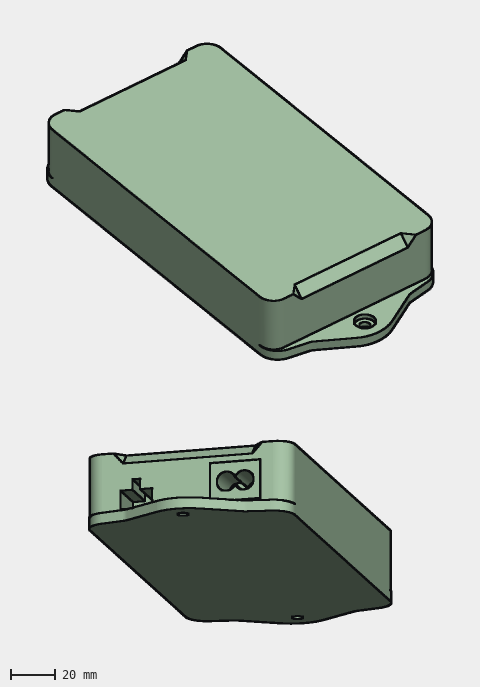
import cadquery as cq
import math

length = 203.0
width = 96.0
height = 33.0
housing_length = 168.0
housing_radius = 8.0
end_face_x = housing_length / 2

plate_thickness = 5.0
ear_tip_radius = 20.0
ear_tip_angle = 30
ear_bend_y = 28.0
ear_bend_radius = 5.0
shoulder_angle = 10
shoulder_radius = 10.0

hole_x = 91.5
hole_diameter = 5.0
counterbore_diameter = 10.0
counterbore_depth = 2.5

notch_depth = 5.0
notch_inner_half_width = 30.2
notch_outer_half_width = 35.0

port_depth = 20.3
port_bottom_z = 6.7
power_y = -22.5
power_block_width = 23.3
power_block_height = 18.0
power_block_projection = 1.0
power_socket_diameter = 9.0
power_socket_spacing = 8.3
network_y = 24.2
network_width = 14.8
network_height = 8.7
network_tab_width = 3.7
network_tab_height = 4.9


def make_base_plate():
    """Sharp-cornered outline with two pointed ears, then rounded corners."""
    flank_slope = math.tan(math.radians(ear_tip_angle))
    shoulder_slope = math.tan(math.radians(shoulder_angle))
    tip_centre_x = length / 2 - ear_tip_radius
    apex_x = tip_centre_x + ear_tip_radius / math.cos(math.radians(ear_tip_angle))
    bend_x = apex_x - ear_bend_y * flank_slope
    corner_x = bend_x - (width / 2 - ear_bend_y) * shoulder_slope
    outline = [
        (-apex_x, 0),
        (-bend_x, ear_bend_y),
        (-corner_x, width / 2),
        (corner_x, width / 2),
        (bend_x, ear_bend_y),
        (apex_x, 0),
        (bend_x, -ear_bend_y),
        (corner_x, -width / 2),
        (-corner_x, -width / 2),
        (-bend_x, -ear_bend_y),
    ]
    plate = cq.Workplane("XY").polyline(outline).close().extrude(plate_thickness)
    mid_z = plate_thickness / 2
    rounded_corners = (
        (apex_x, 0, ear_tip_radius),
        (bend_x, ear_bend_y, ear_bend_radius),
        (corner_x, width / 2, shoulder_radius),
    )
    for x, y, radius in rounded_corners:
        for x_sign in (-1, 1):
            for y_sign in (-1, 1) if y else (1,):
                corner = cq.selectors.NearestToPointSelector((x_sign * x, y_sign * y, mid_z))
                plate = plate.edges("|Z").edges(corner).fillet(radius)
    return (
        plate.faces(">Z")
        .workplane(origin=(0, 0, plate_thickness))
        .pushPoints([(-hole_x, 0), (hole_x, 0)])
        .cboreHole(hole_diameter, counterbore_diameter, counterbore_depth)
    )


def make_housing():
    return (
        cq.Workplane("XY")
        .box(housing_length, width, height, centered=(True, True, False))
        .edges("|Z")
        .fillet(housing_radius)
    )


def make_notch():
    """Bevel cutter at the -X end, closed by a slanting triangle at each side."""
    inner_x = notch_depth - end_face_x
    ends = []
    for side in (-1, 1):
        inner_y = side * notch_inner_half_width
        outer = cq.Vector(-end_face_x, side * notch_outer_half_width, height)
        lower = cq.Vector(-end_face_x, inner_y, height - notch_depth)
        inner = cq.Vector(inner_x, inner_y, height)
        ends.append((outer, lower, inner))
    (outer_a, lower_a, inner_a), (outer_b, lower_b, inner_b) = ends
    loops = [
        (outer_a, lower_a, inner_a),
        (outer_b, lower_b, inner_b),
        (outer_a, outer_b, lower_b, lower_a),
        (outer_a, outer_b, inner_b, inner_a),
        (lower_a, lower_b, inner_b, inner_a),
    ]
    faces = [cq.Face.makeFromWires(cq.Wire.makePolygon(loop, close=True)) for loop in loops]
    return cq.Workplane(obj=cq.Solid.makeSolid(cq.Shell.makeShell(faces)))


def end_box(y, bottom_z, box_width, box_height, start_x, depth):
    """Box centred on y that runs from start_x toward +X."""
    return (
        cq.Workplane("XY")
        .box(depth, box_width, box_height, centered=(False, True, False))
        .translate((start_x, y, bottom_z))
    )


def make_power_block():
    return end_box(
        power_y,
        port_bottom_z,
        power_block_width,
        power_block_height,
        -end_face_x - power_block_projection,
        2 * power_block_projection,
    )


def make_power_socket():
    """Figure-eight recess made of two overlapping round bores."""
    centre_z = port_bottom_z + power_block_height / 2
    half_spacing = power_socket_spacing / 2
    bore = (
        cq.Workplane("YZ", origin=(-end_face_x - power_block_projection, power_y, centre_z))
        .circle(power_socket_diameter / 2)
        .extrude(port_depth)
    )
    return bore.translate((0, -half_spacing, 0)).union(bore.translate((0, half_spacing, 0)))


def make_network_port():
    body = end_box(network_y, port_bottom_z, network_width, network_height, -end_face_x, port_depth)
    port_height = network_height + network_tab_height
    tab = end_box(network_y, port_bottom_z, network_tab_width, port_height, -end_face_x, port_depth)
    return body.union(tab)


notch = make_notch()
result = make_base_plate().union(make_housing())
result = result.cut(notch).cut(notch.mirror("YZ"))
result = result.union(make_power_block())
result = result.cut(make_power_socket()).cut(make_network_port())